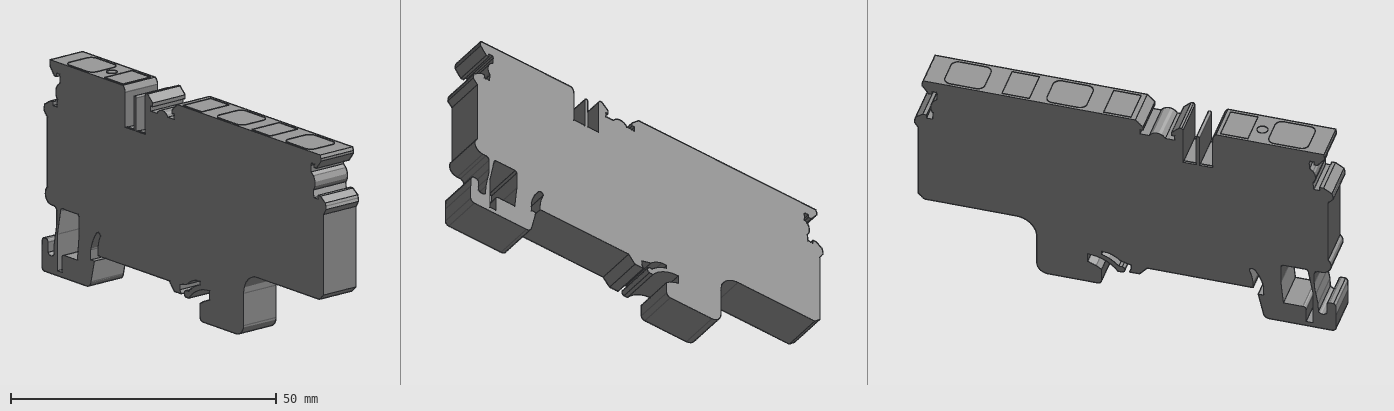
import cadquery as cq

length = 82.85
height = 42.2
thickness = 8.0

left_side = 1.6
right_side = 82.1
shoulder_z = 13.6
rail_seat_z = 6.8
fixed_foot_z = 1.0

lip_overhang = -0.75
left_lip_bevel = 0.1
right_lip_bevel = 0.25
lip_bevel_height = 0.7
left_barb_overhang = 1.0
right_barb_overhang = length - right_side
barb_top_z = 34.05
barb_root_z = 30.65

holder_x = 35.1
holder_half_width = 3.4
holder_floor_z = 39.0
crest_half_width = 1.6
crest_z = 39.9

slot_left = 24.3
slot_right = 30.1
slot_floor_z = 34.05
slot_mouth_flare = 0.7
slot_mouth_height = 1.25
fin_x = 27.2
fin_width = 0.7
fin_top_z = 40.9

inset_depth = 0.1
inset_width = 6.8
slot_inset_width = 7.0
square_inset_length = 5.4
square_inset_centers = (20.2, 43.2, 63.1)
round_inset_length = 7.9
round_inset_corner = 1.4
round_inset_centers = (9.9, 53.4, 73.5)
test_hole_x = 15.7
test_hole_diameter = 2.1


def line(x, z):
    return [(x, z)]


def arc(through, end):
    return [through, end]


def moved(path, x_offset, x_sign=1):
    """Places a path drawn around x = 0, mirrored when x_sign is -1."""
    return [[(x_offset + x_sign * x, z) for x, z in step] for step in path]


def reversed_path(path):
    """Runs the same path from its last point to its first."""
    ends = [step[-1] for step in path]
    back = [[ends[-1]]]
    for index in range(len(path) - 1, 0, -1):
        back.append(path[index][:-1] + [ends[index - 1]])
    return back


def prism(path):
    """Extrudes a closed path over the full thickness."""
    wire = cq.Workplane("XZ").moveTo(*path[0][-1])
    for step in path[1:]:
        if len(step) == 1:
            wire = wire.lineTo(*step[0])
        else:
            wire = wire.threePointArc(*step)
    return wire.close().extrude(thickness / 2, both=True)


def marker_groove(barb_overhang, lip_bevel):
    """End of the housing from the top down, with x measured outwards from its side."""
    return [
        line(lip_overhang - lip_bevel, height),
        line(lip_overhang, height - lip_bevel_height),
        line(lip_overhang, height - 1.2),
        line(-2.1, 39.3),
        line(-2.7, 39.3),
        line(-2.7, 39.9),
        line(-3.6, 39.9),
        line(-3.7, 39.4),
        line(-3.65, 38.2),
        line(-3.0, 37.6),
        arc((-2.5, 36.3), (-2.8, 35.0)),
        line(-3.0, 34.8),
        line(-2.8, 33.3),
        line(-1.65, 33.3),
        line(-1.65, barb_top_z),
        line(-0.9, barb_top_z),
        line(barb_overhang - 0.25, 33.05),
        line(barb_overhang - 0.1, 32.5),
        line(barb_overhang, 31.8),
        line(0, barb_root_z),
    ]


def clip_foot():
    """Left underside: side bulge, spring leg, hooked toe and rail hook."""
    return [
        line(left_side, 16.8),
        arc((1.1, 14.9), (2.8, shoulder_z)),
        line(3.6, shoulder_z),
        arc((4.1, 13.3), (4.3, 12.85)),
        line(4.3, 10.6),
        arc((4.2, 9.45), (4.0, 8.1)),
        line(3.6, 5.8),
        line(3.5, 4.0),
        arc((2.65, 3.5), (1.8, 4.0)),
        line(1.8, 6.0),
        arc((1.65, 6.4), (1.3, 6.55)),
        line(0.5, 6.55),
        arc((0.25, 6.3), (0.1, 6.0)),
        line(0, 3.9),
        line(0, 0.8),
        arc((0.25, 0.25), (0.8, 0)),
        line(13.1, 0),
        arc((13.9, 0.3), (14.3, 1.2)),
        line(15.3, 5.5),
        line(14.25, 5.5),
        line(14.25, 7.45),
        arc((14.9, 9.45), (15.9, 11.1)),
        arc((16.65, 11.35), (17.1, 10.85)),
        arc((16.5, 9.1), (16.3, rail_seat_z)),
    ]


def rail_spring():
    """Underside from the rail seat to the fixed foot, with the slender spring finger."""
    return [
        line(37.1, rail_seat_z),
        line(38.6, 5.05),
        line(40.6, 5.05),
        line(40.3, 5.8),
        line(40.3, rail_seat_z),
        line(42.3, 7.4),
        arc((43.6, 8.3), (44.9, 8.8)),
        line(46.1, 8.8),
        line(46.1, 8.1),
        arc((44.25, 7.3), (42.7, 6.05)),
        line(42.0, 6.05),
        arc((41.5, 5.5), (42.0, 4.7)),
        line(42.8, 4.7),
        arc((45.5, 6.9), (48.8, 7.6)),
        line(48.8, 5.8),
        line(47.15, 5.1),
        line(46.1, 4.5),
    ]


def fixed_foot():
    """Right foot and the step up to the underside of the overhang."""
    return [
        line(46.1, 1.8),
        arc((46.3, 1.25), (46.9, fixed_foot_z)),
        line(56.7, fixed_foot_z),
        arc((58.2, 1.65), (58.8, 3.15)),
        line(58.8, 9.5),
        arc((60.0, 12.4), (62.8, shoulder_z)),
        line(80.9, shoulder_z),
        line(right_side, 14.75),
    ]


def holder_half():
    """Right half of the marker holder, from the crest of its floor up to the top face."""
    return [
        line(crest_half_width, holder_floor_z),
        line(holder_half_width, holder_floor_z),
        line(holder_half_width, 40.0),
        line(2.8, 40.0),
        line(2.8, 40.8),
        line(4.3, height),
    ]


def marker_holder():
    """Marker holder from right to left, with a round crest on its floor."""
    half = holder_half()
    crest = arc((0, crest_z), (-crest_half_width, holder_floor_z))
    left_half = moved(half, 0, -1)
    return moved(reversed_path(half) + [crest] + left_half[1:], holder_x)


def bridge_slot():
    """Bridge slot from right to left, with the fin standing on its floor."""
    fin_right = fin_x + fin_width / 2
    fin_left = fin_x - fin_width / 2
    fin_shoulder_z = fin_top_z - fin_width / 2
    return [
        line(slot_right + 0.25, height),
        line(slot_right, height - 0.4),
        line(slot_right, slot_floor_z),
        line(fin_right, slot_floor_z),
        line(fin_right, fin_shoulder_z),
        arc((fin_x, fin_top_z), (fin_left, fin_shoulder_z)),
        line(fin_left, slot_floor_z),
        line(slot_left, slot_floor_z),
        line(slot_left, height - slot_mouth_height),
        arc((slot_left - 0.2, height - 0.6), (slot_left - slot_mouth_flare, height)),
    ]


def spring_window():
    """Opening between the spring leg and the housing."""
    return [
        line(6.05, shoulder_z),
        line(10.4, shoulder_z),
        line(10.85, 13.2),
        line(10.85, 9.4),
        line(10.35, 4.5),
        line(6.55, 4.5),
        arc((6.05, 4.3), (5.9, 3.8)),
        line(5.9, fixed_foot_z),
        line(4.55, fixed_foot_z),
        line(4.55, 8.2),
        line(5.5, 13.0),
        arc((5.6, 13.4), (6.05, shoulder_z)),
    ]


def inset(x_center, x_length, y_width, face_z):
    """Block that sinks a shallow rectangle into a face pointing up."""
    block = cq.Workplane("XY", origin=(x_center, 0, face_z - inset_depth))
    return block.rect(x_length, y_width).extrude(inset_depth)


outline = (
    moved(marker_groove(left_barb_overhang, left_lip_bevel), left_side, -1)
    + clip_foot()
    + rail_spring()
    + fixed_foot()
    + reversed_path(moved(marker_groove(right_barb_overhang, right_lip_bevel), right_side))
    + marker_holder()
    + bridge_slot()
)
result = prism(outline).cut(prism(spring_window()))

for x_center in square_inset_centers:
    result = result.cut(inset(x_center, square_inset_length, inset_width, height))
for x_center in round_inset_centers:
    rounded = inset(x_center, round_inset_length, inset_width, height)
    result = result.cut(rounded.edges("|Z").fillet(round_inset_corner))
test_hole = cq.Workplane("XY", origin=(test_hole_x, 0, height - inset_depth))
result = result.cut(test_hole.circle(test_hole_diameter / 2).extrude(inset_depth))

for wall_x, fin_side in ((slot_left, -1), (slot_right, 1)):
    fin_face = fin_x + fin_side * fin_width / 2
    gap = abs(wall_x - fin_face)
    result = result.cut(inset((wall_x + fin_face) / 2, gap, slot_inset_width, slot_floor_z))